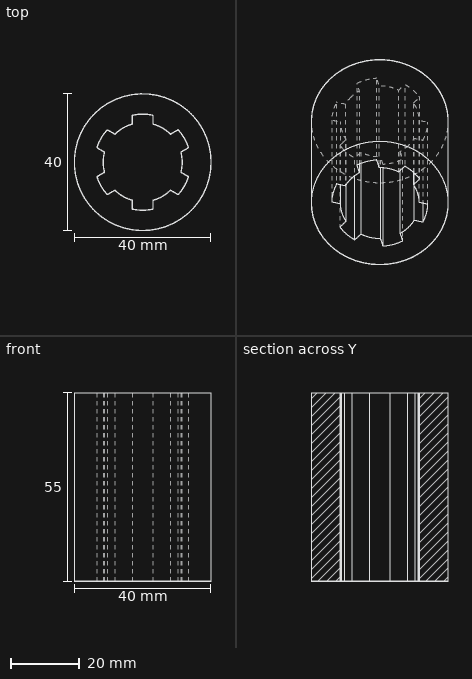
import cadquery as cq

length = 55.0
outer_diameter = 40.0
spline_minor_diameter = 23.0
spline_major_diameter = 28.0
groove_width = 6.0
groove_count = 6


def sleeve_blank():
    """Solid cylinder standing on the XY plane."""
    return cq.Workplane("XY").circle(outer_diameter / 2).extrude(length)


def spline_void():
    """Round bore with parallel-sided grooves whose floors lie on the major diameter."""
    bore = cq.Workplane("XY").circle(spline_minor_diameter / 2).extrude(length)
    major_cylinder = cq.Workplane("XY").circle(spline_major_diameter / 2).extrude(length)

    bar = cq.Workplane("XY").rect(groove_width, outer_diameter).extrude(length)
    groove_pitch = 360 / groove_count
    for index in range(groove_count // 2):
        turned_bar = bar.rotate((0, 0, 0), (0, 0, 1), index * groove_pitch)
        bore = bore.union(turned_bar.intersect(major_cylinder))
    return bore


result = sleeve_blank().cut(spline_void())